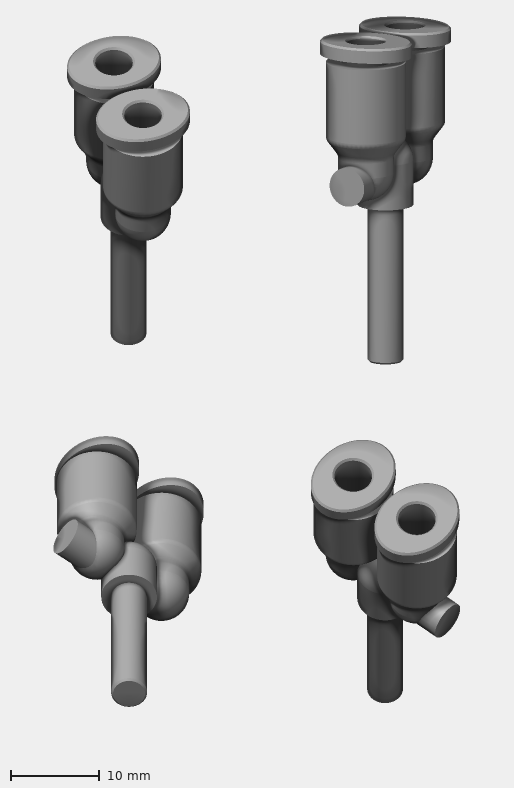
import cadquery as cq
import math

total_height = 37.8
socket_spacing = 9.3

collar_width = 8.58
collar_depth = 10.8
collar_thickness = 1.65
collar_chamfer = 0.23
bore_diameter = 4.25
bore_chamfer = 0.23

sleeve_diameter = 5.5
sleeve_height = 0.75

body_radius = 4.5
neck_radius = 3.15
shoulder_top = 26.5
shoulder_bottom = 24.7
shoulder_fillet = 1.0
ball_center_height = 22.6

hub_radius = 3.15
hub_bottom = 18.03
hub_dome_height = 23.17
stem_diameter = 4.05
stem_chamfer = 0.23

web_top = 34.25
web_thickness = 0.6

stub_diameter = 4.42
stub_height = 21.77

collar_bottom = total_height - collar_thickness
body_top = collar_bottom - sleeve_height
socket_offset = socket_spacing / 2
bore_depth = total_height - shoulder_bottom
web_width = socket_spacing / 2


def rounded_corner(before, corner, after, radius):
    """Start, middle and end points of the arc that rounds a profile corner."""
    corner = cq.Vector(*corner)
    to_before = (cq.Vector(*before) - corner).normalized()
    to_after = (cq.Vector(*after) - corner).normalized()
    half_angle = to_before.getAngle(to_after) / 2
    bisector = (to_before + to_after).normalized()
    tangent_length = radius / math.tan(half_angle)
    apex_distance = radius / math.sin(half_angle) - radius
    start = corner + to_before * tangent_length
    middle = corner + bisector * apex_distance
    end = corner + to_after * tangent_length
    return [(point.x, point.y) for point in (start, middle, end)]


def make_socket_body():
    """Body, filleted shoulder, neck and ball, revolved about the socket axis."""
    body_edge = (body_radius, body_top)
    upper_corner = (body_radius, shoulder_top)
    lower_corner = (neck_radius, shoulder_bottom)
    neck_end = (neck_radius, ball_center_height)
    upper_arc = rounded_corner(body_edge, upper_corner, lower_corner, shoulder_fillet)
    lower_arc = rounded_corner(upper_corner, lower_corner, neck_end, shoulder_fillet)
    ball_arc_offset = neck_radius * math.sqrt(0.5)
    profile = (
        cq.Workplane("XZ")
        .moveTo(0, body_top)
        .lineTo(*body_edge)
        .lineTo(*upper_arc[0])
        .threePointArc(*upper_arc[1:])
        .lineTo(*lower_arc[0])
        .threePointArc(*lower_arc[1:])
        .lineTo(*neck_end)
        .threePointArc(
            (ball_arc_offset, ball_center_height - ball_arc_offset),
            (0, ball_center_height - neck_radius),
        )
        .close()
    )
    return profile.revolve(360, (0, 0, 0), (0, 1, 0))


def make_collar():
    """Elliptical release collar on its round sleeve."""
    collar = (
        cq.Workplane("XY", origin=(0, 0, collar_bottom))
        .ellipse(collar_width / 2, collar_depth / 2)
        .extrude(collar_thickness)
        .faces(">Z")
        .chamfer(collar_chamfer)
    )
    sleeve = (
        cq.Workplane("XY", origin=(0, 0, body_top))
        .circle(sleeve_diameter / 2)
        .extrude(sleeve_height)
    )
    return collar.union(sleeve)


def make_bore():
    """Blind tube bore with a chamfered mouth."""
    bore_radius = bore_diameter / 2
    bore = (
        cq.Workplane("XY", origin=(0, 0, total_height))
        .circle(bore_radius)
        .extrude(-bore_depth)
    )
    mouth = cq.Solid.makeCone(
        bore_radius,
        bore_radius + bore_chamfer,
        bore_chamfer,
        cq.Vector(0, 0, total_height - bore_chamfer),
    )
    return bore.union(cq.Workplane(mouth))


def make_hub():
    """Domed central hub."""
    barrel = (
        cq.Workplane("XY", origin=(0, 0, hub_bottom))
        .circle(hub_radius)
        .extrude(hub_dome_height - hub_bottom)
    )
    dome = cq.Workplane("XY", origin=(0, 0, hub_dome_height)).sphere(hub_radius)
    return barrel.union(dome)


def make_stem():
    """Plug stem with a chamfered lower end."""
    return (
        cq.Workplane("XY")
        .circle(stem_diameter / 2)
        .extrude(hub_bottom)
        .faces("<Z")
        .chamfer(stem_chamfer)
    )


def make_web():
    """Flat web from the hub up between the two socket bodies."""
    return (
        cq.Workplane("XY", origin=(0, 0, hub_dome_height))
        .rect(web_width, web_thickness)
        .extrude(web_top - hub_dome_height)
    )


def make_stub():
    """Horizontal round stub from the -X socket axis out to the body side."""
    return (
        cq.Workplane("YZ", origin=(-socket_offset, 0, stub_height))
        .circle(stub_diameter / 2)
        .extrude(-body_radius)
    )


socket = make_socket_body().union(make_collar())
bore = make_bore()

result = make_hub().union(make_stem()).union(make_web()).union(make_stub())
for side in (-1, 1):
    socket_axis = (side * socket_offset, 0, 0)
    result = result.union(socket.translate(socket_axis))
    result = result.cut(bore.translate(socket_axis))